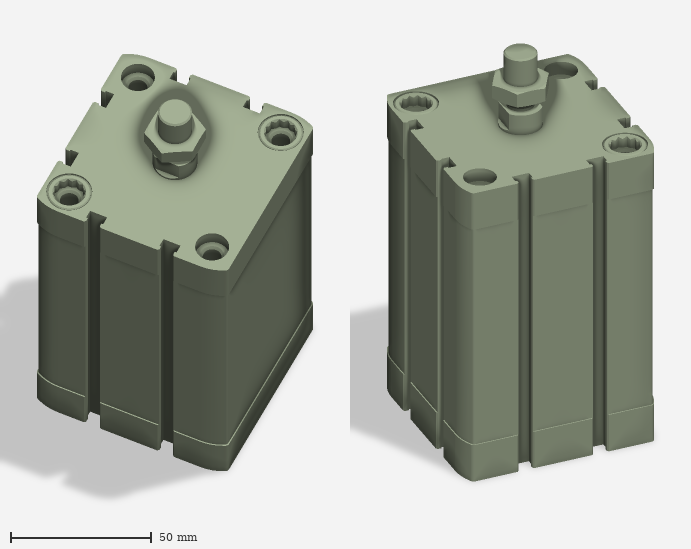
import cadquery as cq
import math

cap_width = 75.5
barrel_inset = 0.5
housing_height = 119.0
cap_height = 15.0
flat_end = 28.2
corner_drop = 2.7
corner_rounding = 1.5

slot_offset = 14.5
slot_mouth = 5.4
slot_width = 6.7
slot_lip = 2.0
slot_depth = 5.2
lip_chamfer = 0.6

hole_offset = 28.2
through_diameter = 6.7
countersink_diameter = 8.5
countersink_depth = 0.7
plain_recess_diameter = 12.0
recess_depth = 5.2

groove_diameter = 16.4
groove_depth = 0.7
collar_diameter = 15.5
collar_chamfer = 0.5
socket_mouth_diameter = 12.0
socket_across_flats = 10.3
socket_depth = 4.5
socket_chamfer_depth = 0.9

overall_height = 149.0
rod_diameter = 16.0
shoulder_height = 8.0
rod_across_flats = 13.0
flat_start = 1.3
flat_runout = 0.6
neck_diameter = 10.1
neck_height = 1.0
thread_diameter = 12.0
neck_cone_height = 2.1
tip_chamfer = 0.6

nut_across_flats = 19.0
nut_height = 6.0
nut_clearance = 4.8
nut_chamfer_angle = 15.0


def body_outline(width):
    """Square outline with each corner curved down from the Y faces to the X faces."""
    half = width / 2
    run = half - flat_end
    radius = (run**2 + corner_drop**2) / (2 * corner_drop)
    half_turn = math.asin(run / radius) / 2
    mid_x = flat_end + radius * math.sin(half_turn)
    mid_y = half - radius * (1 - math.cos(half_turn))
    end_y = half - corner_drop
    return (
        cq.Workplane("XY")
        .moveTo(-flat_end, half)
        .lineTo(flat_end, half)
        .threePointArc((mid_x, mid_y), (half, end_y))
        .lineTo(half, -end_y)
        .threePointArc((mid_x, -mid_y), (flat_end, -half))
        .lineTo(-flat_end, -half)
        .threePointArc((-mid_x, -mid_y), (-half, -end_y))
        .lineTo(-half, end_y)
        .threePointArc((-mid_x, mid_y), (-flat_end, half))
        .close()
    )


def body_block(inset, bottom, height):
    """One length of the housing, set in from the cap faces, with its four sharp corners rounded."""
    block = body_outline(cap_width - 2 * inset).extrude(height)
    for side in (">X", "<X"):
        block = block.faces(side).edges("|Z").fillet(corner_rounding - inset)
    return block.translate((0, 0, bottom))


def slot_cutter(offset):
    """T-slot opening on the -X side, centred at the given Y."""
    face = -cap_width / 2
    mouth = slot_mouth / 2
    wide = slot_width / 2
    half_profile = [
        (face, mouth + lip_chamfer),
        (face + lip_chamfer, mouth),
        (face + slot_lip, mouth),
        (face + slot_lip, wide),
        (face + slot_depth, wide),
    ]
    mirrored = [(x, -y) for x, y in reversed(half_profile)]
    profile = cq.Workplane("XY").polyline(half_profile + mirrored).close()
    return profile.extrude(housing_height).translate((0, offset, 0))


def revolved(profile):
    """Solid of revolution about Z from (radius, height) points."""
    return cq.Workplane("XZ").polyline(profile).close().revolve(360, (0, 0), (0, 1))


def screw_hole(floor):
    """Hole from the underside up to a recess floor, with a countersunk rim there."""
    rim = countersink_diameter / 2
    bore = through_diameter / 2
    return revolved([(0, 0), (bore, 0), (bore, floor - countersink_depth), (rim, floor), (0, floor)])


def plain_hole():
    """Screw hole below a round recess in the top face."""
    floor = housing_height - recess_depth
    recess = cq.Workplane("XY").workplane(offset=floor).circle(plain_recess_diameter / 2)
    return screw_hole(floor).union(recess.extrude(recess_depth))


def socket_cutter(floor):
    """Twelve-point socket made of two hexagons, with a conical mouth."""
    corner = socket_across_flats / math.cos(math.radians(30)) / 2
    hexagon = cq.Workplane("XY").polygon(6, 2 * corner).extrude(socket_depth)
    socket = hexagon.union(hexagon.rotate((0, 0, 0), (0, 0, 1), 30)).translate((0, 0, floor))
    narrow = socket_across_flats / math.cos(math.radians(15)) / 2
    mouth = revolved([
        (0, housing_height - socket_chamfer_depth),
        (narrow, housing_height - socket_chamfer_depth),
        (socket_mouth_diameter / 2, housing_height),
        (0, housing_height),
    ])
    return socket.union(mouth)


def ring_groove():
    """Groove round a collar, with the collar's rim chamfered."""
    outer = groove_diameter / 2
    inner = collar_diameter / 2
    return revolved([
        (inner - collar_chamfer, housing_height),
        (inner, housing_height - collar_chamfer),
        (inner, housing_height - groove_depth),
        (outer, housing_height - groove_depth),
        (outer, housing_height),
    ])


def collar_hole():
    """Screw hole below a twelve-point socket, in a collar set off by a ring groove."""
    floor = housing_height - socket_depth
    return screw_hole(floor).union(socket_cutter(floor)).union(ring_groove())


def make_housing():
    housing = body_block(0, 0, cap_height)
    barrel_height = housing_height - 2 * cap_height
    housing = housing.union(body_block(barrel_inset, cap_height, barrel_height))
    housing = housing.union(body_block(0, housing_height - cap_height, cap_height))

    for turn in (0, 90, -90):
        for offset in (-slot_offset, slot_offset):
            slot = slot_cutter(offset).rotate((0, 0, 0), (0, 0, 1), turn)
            housing = housing.cut(slot)

    for side in (-1, 1):
        x = side * hole_offset
        housing = housing.cut(plain_hole().translate((x, -x, 0)))
        housing = housing.cut(collar_hole().translate((x, x, 0)))
    return housing


def make_rod():
    """Rod standing on the housing: flatted shank, thread undercut and threaded end."""
    shank = rod_diameter / 2
    neck = neck_diameter / 2
    thread = thread_diameter / 2
    neck_top = shoulder_height + neck_height
    tip = overall_height - housing_height
    rod = revolved([
        (0, 0),
        (shank, 0),
        (shank, shoulder_height),
        (neck, shoulder_height),
        (neck, neck_top),
        (thread, neck_top + neck_cone_height),
        (thread, tip - tip_chamfer),
        (thread - tip_chamfer, tip),
        (0, tip),
    ])
    flat = rod_across_flats / 2
    for side in (-1, 1):
        cutter = (
            cq.Workplane("YZ")
            .polyline([
                (side * flat, shoulder_height),
                (side * flat, flat_start),
                (side * shank, flat_start - flat_runout),
                (side * shank, shoulder_height),
            ])
            .close()
            .extrude(shank, both=True)
        )
        rod = rod.cut(cutter)
    return rod.translate((0, 0, housing_height))


def make_nut():
    """Hexagon nut with corners at +/-Y and both faces chamfered conically."""
    across_corners = nut_across_flats / math.cos(math.radians(30))
    corner = across_corners / 2
    face = nut_across_flats / 2
    chamfer = (corner - face) * math.tan(math.radians(nut_chamfer_angle))
    hexagon = (
        cq.Workplane("XY")
        .polygon(6, across_corners)
        .extrude(nut_height)
        .rotate((0, 0, 0), (0, 0, 1), 90)
    )
    envelope = revolved([
        (0, 0),
        (face, 0),
        (corner, chamfer),
        (corner, nut_height - chamfer),
        (face, nut_height),
        (0, nut_height),
    ])
    bore = cq.Workplane("XY").circle(thread_diameter / 2).extrude(nut_height)
    nut = hexagon.intersect(envelope).cut(bore)
    return nut.translate((0, 0, housing_height + shoulder_height + nut_clearance))


housing = make_housing()
rod = make_rod()
nut = make_nut()

result = cq.Compound.makeCompound([housing.val(), rod.val(), nut.val()])